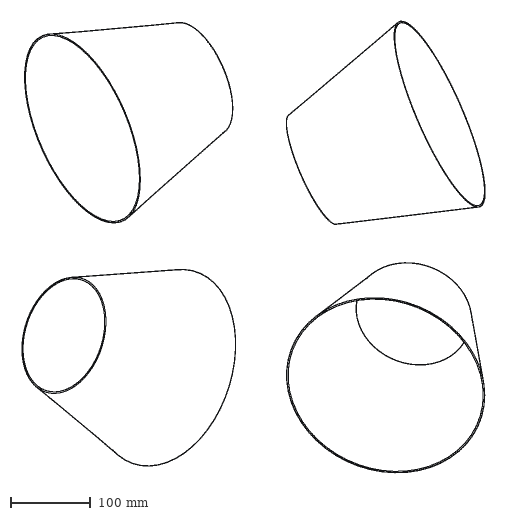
import cadquery as cq

wide_diameter = 254.0
narrow_diameter = 150.0
length = 178.0
wall = 2.0

wide_radius = wide_diameter / 2
narrow_radius = narrow_diameter / 2
wide_end_y = -length / 2
narrow_end_y = length / 2

wall_section = (
    cq.Workplane("XY")
    .moveTo(wide_radius - wall, wide_end_y)
    .lineTo(wide_radius, wide_end_y)
    .lineTo(narrow_radius, narrow_end_y)
    .lineTo(narrow_radius - wall, narrow_end_y)
    .close()
)

result = wall_section.revolve(360, (0, 0, 0), (0, 1, 0))